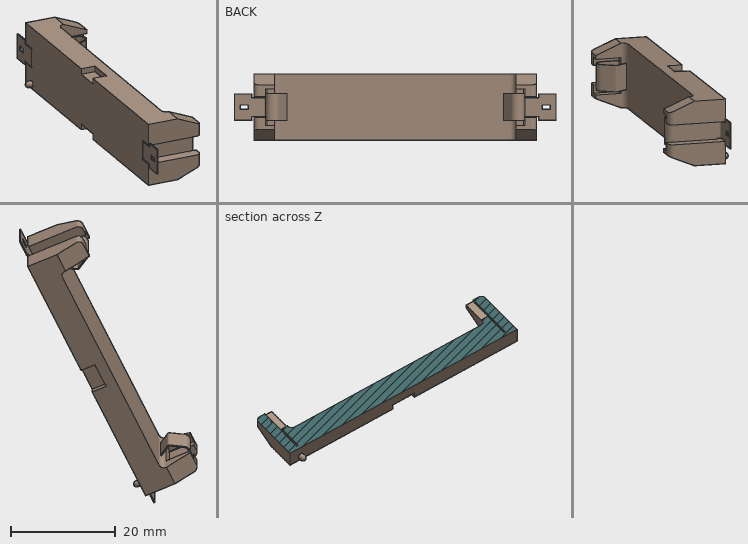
import cadquery as cq
import math

BODY_LENGTH = 53.975
BODY_DEPTH = 11.18
BODY_WIDTH = 12.7
FLOOR_DEPTH = 5.08
POST_THICKNESS = 3.9
POST_CORNER_RADIUS = 1.0
FLOOR_CORNER_RADIUS = 1.05
TAPER_START_DEPTH = 6.17
TAPER_INSET = 2.1

NOTCH_LENGTH = 5.08
NOTCH_HEIGHT = 2.9
NOTCH_DEPTH = 1.15

PEG_RADIUS = 0.635
PEG_LENGTH = 1.27
PEG_INSET_X = 2.6
PEG_INSET_Z = 0.96

OVERALL_LENGTH = 61.49
SHEET_THICKNESS = 0.25
SPRING_WIDTH = 5.2
CONTACT_FACE_X = 2.25
CONTACT_TOP_GAP = 0.19
HEEL_RADIUS = 0.28
BEND_RADIUS_TOP = 1.19
BEND_RADIUS_HOOK = 1.2
BEND_RADIUS_APEX = 0.35
HOOK_X = 4.35
APEX_X = 6.25
APEX_DROP = 3.45
TIP_X = 4.9
TIP_DROP = 5.7

CHANNEL_WIDTH = 3.9
SPRING_SLOT_WIDTH = 7.0
RECESS_LENGTH = 2.6
RECESS_HEIGHT = 0.93
NECK_WIDTH = 3.6

TAB_WIDTH = 5.08
TAB_GAP = 0.37
TAB_HOLE_LENGTH = 1.48
TAB_HOLE_WIDTH = 0.8
TAB_HOLE_CENTER_X = -1.85

LEFT_FACE_X = -BODY_LENGTH / 2
TAB_TIP_X = (BODY_LENGTH - OVERALL_LENGTH) / 2


def block(x_range, y_range, z_width):
    """Box between two X and two Y limits, centred on Z = 0."""
    length = x_range[1] - x_range[0]
    depth = y_range[1] - y_range[0]
    shape = cq.Workplane("XY").box(length, depth, z_width, centered=(False, False, True))
    return shape.translate((x_range[0], y_range[0], 0))


def both_ends(left_shape):
    """Move a shape from the post's own X origin to the left end and mirror it to the right end."""
    placed = left_shape.translate((LEFT_FACE_X, 0, 0))
    return placed, placed.mirror("YZ")


def make_body():
    """U-shaped body whose two end posts taper towards their tops."""
    half_length = BODY_LENGTH / 2
    half_width = BODY_WIDTH / 2
    bay_half_length = half_length - POST_THICKNESS
    body = block((-half_length, half_length), (0, BODY_DEPTH), BODY_WIDTH)
    body = body.edges("|Z and >Y").fillet(POST_CORNER_RADIUS)
    bay = block((-bay_half_length, bay_half_length), (FLOOR_DEPTH, BODY_DEPTH), BODY_WIDTH)
    bay = bay.edges("|Z and <Y").fillet(FLOOR_CORNER_RADIUS)
    end_outline = (
        cq.Workplane("YZ")
        .polyline(
            [
                (0, -half_width),
                (TAPER_START_DEPTH, -half_width),
                (BODY_DEPTH, -half_width + TAPER_INSET),
                (BODY_DEPTH, half_width - TAPER_INSET),
                (TAPER_START_DEPTH, half_width),
                (0, half_width),
            ]
        )
        .close()
        .extrude(half_length, both=True)
    )
    return body.cut(bay).intersect(end_outline)


def cut_side_notches(body):
    """Shallow notch at mid length of each long side, open at the base face."""
    for side in (-1, 1):
        notch = block((-NOTCH_LENGTH / 2, NOTCH_LENGTH / 2), (0, NOTCH_HEIGHT), 2 * NOTCH_DEPTH)
        body = body.cut(notch.translate((0, 0, side * BODY_WIDTH / 2)))
    return body


def cut_contact_channels(body):
    """Slot each post for the strip: narrow at the outer face, wider behind it and open to the bay."""
    strip_back_x = CONTACT_FACE_X + SHEET_THICKNESS
    channel = block((0, CONTACT_FACE_X), (0, BODY_DEPTH), CHANNEL_WIDTH)
    recess = block((0, RECESS_LENGTH), (0, RECESS_HEIGHT), CHANNEL_WIDTH)
    strip_slot = block((CONTACT_FACE_X, strip_back_x), (RECESS_HEIGHT, BODY_DEPTH), SPRING_SLOT_WIDTH)
    spring_slot_y = (FLOOR_DEPTH + FLOOR_CORNER_RADIUS, BODY_DEPTH)
    spring_slot = block((CONTACT_FACE_X, POST_THICKNESS), spring_slot_y, SPRING_SLOT_WIDTH)
    for cutter in both_ends(channel.union(recess).union(strip_slot).union(spring_slot)):
        body = body.cut(cutter)
    return body


def make_peg():
    """Peg on the base face, with its profile revolved about an axis along Y."""
    dome_start = PEG_RADIUS - PEG_LENGTH
    dome_offset = PEG_RADIUS * math.sqrt(0.5)
    peg = (
        cq.Workplane("XY")
        .lineTo(PEG_RADIUS, 0)
        .lineTo(PEG_RADIUS, dome_start)
        .threePointArc((dome_offset, dome_start - dome_offset), (0, -PEG_LENGTH))
        .close()
        .revolve(360, (0, 0, 0), (0, 1, 0))
    )
    return peg.translate((LEFT_FACE_X + PEG_INSET_X, 0, PEG_INSET_Z - BODY_WIDTH / 2))


def contact_centerline():
    """Mid-thickness line of the strip, from tab tip to spring tip, with rounded bends."""
    half_sheet = SHEET_THICKNESS / 2
    wall_x = CONTACT_FACE_X + half_sheet
    crest_y = BODY_DEPTH - CONTACT_TOP_GAP - half_sheet
    start = (TAB_TIP_X, half_sheet)
    bends = [
        ((wall_x, half_sheet), HEEL_RADIUS + half_sheet),
        ((wall_x, crest_y), BEND_RADIUS_TOP),
        ((HOOK_X, crest_y), BEND_RADIUS_HOOK),
        ((APEX_X, BODY_DEPTH - APEX_DROP), BEND_RADIUS_APEX),
    ]
    tip = (TIP_X, BODY_DEPTH - TIP_DROP)
    corners = [start] + [corner for corner, _ in bends] + [tip]
    path = cq.Workplane("XY").moveTo(*start)
    for index, (corner, radius) in enumerate(bends):
        corner = cq.Vector(*corner)
        back = (cq.Vector(*corners[index]) - corner).normalized()
        ahead = (cq.Vector(*corners[index + 2]) - corner).normalized()
        half_angle = back.getAngle(ahead) / 2
        tangent_length = radius / math.tan(half_angle)
        bisector = (back + ahead).normalized()
        arc_start = corner + back * tangent_length
        arc_middle = corner + bisector * (radius / math.sin(half_angle) - radius)
        arc_end = corner + ahead * tangent_length
        path = path.lineTo(arc_start.x, arc_start.y)
        path = path.threePointArc((arc_middle.x, arc_middle.y), (arc_end.x, arc_end.y))
    return path.lineTo(*tip)


def make_heel():
    """Square outer corner and round inner corner where the tab turns up into the strip."""
    size = SHEET_THICKNESS + HEEL_RADIUS
    heel_x = (CONTACT_FACE_X - HEEL_RADIUS, CONTACT_FACE_X + SHEET_THICKNESS)
    inner_round = cq.Workplane("XY").center(heel_x[0], size).circle(HEEL_RADIUS)
    inner_round = inner_round.extrude(NECK_WIDTH, both=True)
    return block(heel_x, (0, size), NECK_WIDTH).cut(inner_round)


def make_contact():
    """Solder tab, narrow neck, upright strip and bent spring in one piece."""
    strip = (
        cq.Workplane("YZ", origin=(TAB_TIP_X, SHEET_THICKNESS / 2, 0))
        .rect(SHEET_THICKNESS, SPRING_WIDTH)
        .sweep(contact_centerline())
    )
    neck_zone = ((TAB_TIP_X, RECESS_LENGTH), (0, RECESS_HEIGHT))
    neck_relief = block(*neck_zone, SPRING_WIDTH).cut(block(*neck_zone, NECK_WIDTH))
    tab = block((TAB_TIP_X, -TAB_GAP), (0, SHEET_THICKNESS), TAB_WIDTH)
    hole_start = TAB_HOLE_CENTER_X - TAB_HOLE_LENGTH / 2
    hole = block((hole_start, hole_start + TAB_HOLE_LENGTH), (0, SHEET_THICKNESS), TAB_HOLE_WIDTH)
    return strip.cut(neck_relief).union(make_heel()).union(tab).cut(hole)


result = cut_contact_channels(cut_side_notches(make_body())).union(make_peg())
for contact in both_ends(make_contact()):
    result = result.union(contact)